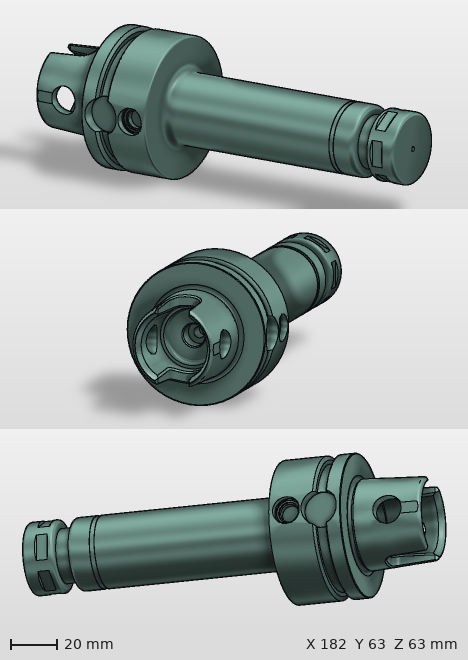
import cadquery as cq

total_length = 182.0
shank_length = 32.0

taper_end_radius = 18.4
taper_slope = 0.055
taper_tip_length = 2.4
taper_tip_drop = 1.3
tip_stock = 1.8
undercut_width = 2.0
undercut_cone_length = 1.0
undercut_face_depth = 0.4
undercut_outer_radius = 21.8
undercut_neck_radius = 19.3
undercut_middle_radius = 20.0

flange_radius = 31.5
flange_end = 64.8
flange_front_chamfer = 0.4
flange_rear_fillet = 1.0
groove_start = 38.5
groove_end = 45.0
groove_floor_radius = 27.8
groove_chamfer = 1.0
groove_chamfer_rise = 1.8

arbor_radius = 16.0
arbor_fillet = 3.6
relief_start = 149.0
relief_width = 2.2
relief_depth = 0.2
arbor_end = 161.5
arbor_end_fillet = 2.2

neck_radius = 12.0
nut_start = 167.8
nut_radius = 16.0
nut_fillet = 1.6
nut_flat_count = 6
nut_flat_distance = 15.0
nut_flat_start = 170.7
nut_flat_end = 175.6
nut_flat_end_slope = 0.5

mouth_radius = 17.0
mouth_chamfer = 1.0
mouth_cone_radius = 16.2
mouth_cone_end = 2.7
bore_mouth_radius = 15.1
bore_end_radius = 14.0
bore_depth = 25.5
inner_radius = 12.5
floor_fillet = 1.8
floor_depth = 29.1
tube_radius = 5.5
tube_chamfer = 0.5
tube_depth = 36.4
feed_radius = 2.45
feed_depth = 43.7
coolant_radius = 1.0

slot_width = 14.0
slot_length = 20.0
slot_corner_radius = 4.0
slot_edge_chamfer = 0.7
slot_mouth_length = 1.6
slot_mouth_flare = 1.0

ball_hole_x = 15.0
ball_hole_diameter = 12.5
strip_width = 5.0

pocket_x = 41.9
pocket_diameter = 16.0
pocket_floor_distance = 25.8
screw_x = 56.8
screw_steps = [
    (12.0, 28.2),
    (11.0, 27.3),
    (9.3, 26.4),
    (8.0, 23.7),
]


def taper_radius(x):
    return taper_end_radius + taper_slope * x


def bore_radius(x):
    """Radius of the bore, which narrows evenly from the mouth cone to its inner end."""
    slope = (bore_end_radius - bore_mouth_radius) / (bore_depth - mouth_cone_end)
    return bore_mouth_radius + slope * (x - mouth_cone_end)


def cylinder_y(x, diameter, start, end):
    """Cylinder parallel to Y between two distances on the -Y side."""
    return cq.Workplane("XZ", origin=(x, -start, 0)).circle(diameter / 2).extrude(end - start)


def both_sides(tool):
    """The tool together with its copy turned half a turn about X."""
    return [tool, tool.rotate((0, 0, 0), (1, 0, 0), 180)]


def make_body():
    undercut_start = shank_length - undercut_width
    fillet_start = flange_end + arbor_fillet
    profile = (
        cq.Workplane("XY")
        .moveTo(-tip_stock, 0)
        .lineTo(-tip_stock, taper_radius(-tip_stock))
        .lineTo(undercut_start, taper_radius(undercut_start))
        .lineTo(undercut_start + undercut_cone_length, undercut_neck_radius)
        .threePointArc(
            (shank_length + undercut_face_depth, undercut_middle_radius),
            (shank_length, undercut_outer_radius),
        )
        .lineTo(shank_length, flange_radius - flange_front_chamfer)
        .lineTo(shank_length + flange_front_chamfer, flange_radius)
        .lineTo(groove_start, flange_radius)
        .lineTo(groove_start + groove_chamfer, flange_radius - groove_chamfer_rise)
        .lineTo(groove_start + groove_chamfer, groove_floor_radius)
        .lineTo(groove_end - groove_chamfer, groove_floor_radius)
        .lineTo(groove_end - groove_chamfer, flange_radius - groove_chamfer_rise)
        .lineTo(groove_end, flange_radius)
        .lineTo(flange_end - flange_rear_fillet, flange_radius)
        .radiusArc((flange_end, flange_radius - flange_rear_fillet), flange_rear_fillet)
        .lineTo(flange_end, arbor_radius + arbor_fillet)
        .radiusArc((fillet_start, arbor_radius), -arbor_fillet)
        .lineTo(relief_start, arbor_radius)
        .lineTo(relief_start, arbor_radius - relief_depth)
        .lineTo(relief_start + relief_width, arbor_radius - relief_depth)
        .lineTo(relief_start + relief_width, arbor_radius)
        .lineTo(arbor_end - arbor_end_fillet, arbor_radius)
        .radiusArc((arbor_end, arbor_radius - arbor_end_fillet), arbor_end_fillet)
        .lineTo(arbor_end, neck_radius)
        .lineTo(nut_start, neck_radius)
        .lineTo(nut_start, nut_radius - nut_fillet)
        .radiusArc((nut_start + nut_fillet, nut_radius), nut_fillet)
        .lineTo(total_length - nut_fillet, nut_radius)
        .radiusArc((total_length, nut_radius - nut_fillet), nut_fillet)
        .lineTo(total_length, 0)
        .close()
    )
    return profile.revolve(360, (0, 0, 0), (1, 0, 0))


def make_interior():
    profile = (
        cq.Workplane("XY")
        .moveTo(-tip_stock, 0)
        .lineTo(-tip_stock, bore_radius(-tip_stock))
        .lineTo(bore_depth, bore_end_radius)
        .lineTo(bore_depth, inner_radius)
        .lineTo(floor_depth - floor_fillet, inner_radius)
        .radiusArc((floor_depth, inner_radius - floor_fillet), floor_fillet)
        .lineTo(floor_depth, tube_radius)
        .lineTo(floor_depth + tube_chamfer, tube_radius - tube_chamfer)
        .lineTo(tube_depth, tube_radius - tube_chamfer)
        .lineTo(tube_depth, feed_radius)
        .lineTo(feed_depth, feed_radius)
        .lineTo(feed_depth, coolant_radius)
        .lineTo(total_length, coolant_radius)
        .lineTo(total_length, 0)
        .close()
    )
    return profile.revolve(360, (0, 0, 0), (1, 0, 0))


def above_bore(side):
    """Selector for edges around the slot on one side of the axis (side is 1 or -1)."""
    return cq.selectors.BoxSelector(
        (-tip_stock / 2, -slot_width, side * bore_end_radius / 2),
        (slot_length + tip_stock, slot_width, side * flange_radius),
    )


def cut_slots(body):
    """Cut the slot through both sides of the wall and break its edges."""
    slot = (
        cq.Workplane("XY", origin=(0, 0, -shank_length))
        .rect(2 * slot_length, slot_width)
        .extrude(2 * shank_length)
        .edges("|Z and >X")
        .fillet(slot_corner_radius)
    )
    slotted = body.cut(slot)
    rims = slotted.edges(above_bore(1) + above_bore(-1)).edges("not |Z")
    return rims.chamfer(slot_edge_chamfer)


def make_tip_trim():
    """Material removed to leave the rounded tip and the flared mouth of the bore."""
    profile = (
        cq.Workplane("XY")
        .moveTo(-2 * tip_stock, 0)
        .lineTo(-2 * tip_stock, flange_radius)
        .lineTo(taper_tip_length, flange_radius)
        .lineTo(taper_tip_length, taper_radius(taper_tip_length))
        .radiusArc((0, taper_radius(0) - taper_tip_drop), -taper_tip_length)
        .lineTo(0, mouth_radius)
        .lineTo(mouth_chamfer, mouth_cone_radius)
        .lineTo(mouth_cone_end, bore_mouth_radius)
        .lineTo(mouth_cone_end, 0)
        .close()
    )
    return profile.revolve(360, (0, 0, 0), (1, 0, 0))


def make_slot_mouth():
    """Wedge that bevels both corners of the slots at the shank end."""
    half_width = slot_width / 2
    flared = half_width + slot_mouth_flare
    return (
        cq.Workplane("XY", origin=(0, 0, -shank_length))
        .polyline([
            (0, -flared),
            (slot_mouth_length, -half_width),
            (slot_mouth_length, half_width),
            (0, flared),
        ])
        .close()
        .extrude(2 * shank_length)
    )


def make_strip():
    """Flat running from the shank end to a ball hole, parallel to the taper surface."""
    sag = strip_width ** 2 / (8 * taper_end_radius)
    floor_start = taper_radius(0) - sag
    floor_end = taper_radius(ball_hole_x) - sag
    return (
        cq.Workplane("XY", origin=(0, 0, -strip_width / 2))
        .polyline([
            (0, -floor_start),
            (ball_hole_x, -floor_end),
            (ball_hole_x, -flange_radius),
            (0, -flange_radius),
        ])
        .close()
        .extrude(strip_width)
    )


def make_nut_flat():
    rise = nut_radius - nut_flat_distance
    slope_length = rise * nut_flat_end_slope
    return (
        cq.Workplane("XY", origin=(0, 0, -nut_radius / 2))
        .polyline([
            (nut_flat_start, -nut_flat_distance),
            (nut_flat_end, -nut_flat_distance),
            (nut_flat_end + slope_length, -nut_radius),
            (nut_flat_start - slope_length, -nut_radius),
        ])
        .close()
        .extrude(nut_radius)
    )


result = make_body().cut(make_interior())
result = cut_slots(result)
result = result.cut(make_tip_trim()).cut(make_slot_mouth())

side_tools = [
    make_strip(),
    cylinder_y(ball_hole_x, ball_hole_diameter, 0, flange_radius),
    cylinder_y(pocket_x, pocket_diameter, pocket_floor_distance, flange_radius),
]
for step_diameter, floor_distance in screw_steps:
    side_tools.append(cylinder_y(screw_x, step_diameter, floor_distance, flange_radius))
for tool in side_tools:
    for placed_tool in both_sides(tool):
        result = result.cut(placed_tool)

for index in range(nut_flat_count):
    angle = index * 360 / nut_flat_count
    result = result.cut(make_nut_flat().rotate((0, 0, 0), (1, 0, 0), angle))